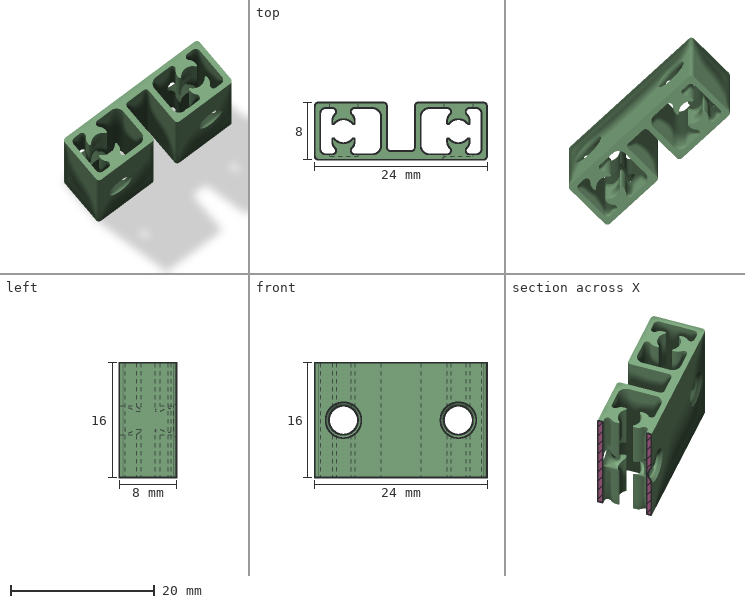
import cadquery as cq
import math

LENGTH = 24.0
DEPTH = LENGTH / 3
HEIGHT = LENGTH * 2 / 3
CORNER_RADIUS = 0.5

SLOT_WIDTH = 3.86
SLOT_FLOOR = 1.25

OUTER_WALL = 0.8
INNER_WALL = 0.85
OUTER_CELL_RADIUS = 0.7
INNER_CELL_RADIUS = 1.2

CHANNEL_X = LENGTH / 3
CHANNEL_Y = DEPTH / 2
CHANNEL_RADIUS = 1.65
CLAW_HALF_WIDTH = 1.58
CLAW_TIP_RADIUS = 0.17
CLAW_FLANK_RADIUS = 1.32
NECK_HALF_WIDTH = 1.03
NECK_RADIUS = 0.5

HOLE_DIAMETER = 4.0
COUNTERSINK_DIAMETER = 5.0

CUT_MARGIN = 0.25


def point_toward(start, target, distance):
    """Point at a given distance from start along the ray through target."""
    span = math.dist(start, target)
    return tuple(a + (b - a) * distance / span for a, b in zip(start, target))


def mirrored(point):
    return (-point[0], point[1])


def make_block():
    """U-shaped solid profile before the cells are hollowed out."""
    block = cq.Workplane("XY").box(LENGTH, DEPTH, HEIGHT, centered=(True, False, True))
    slot = (
        cq.Workplane("XY")
        .box(SLOT_WIDTH, DEPTH - SLOT_FLOOR, HEIGHT, centered=(True, False, True))
        .translate((0, SLOT_FLOOR, 0))
    )
    return block.cut(slot).edges("|Z").fillet(CORNER_RADIUS)


def make_claw():
    """Claw standing on the front wall, drawn with the channel axis as origin."""
    root_y = OUTER_WALL - CHANNEL_Y
    base_y = root_y - OUTER_WALL / 2

    neck_centre = (NECK_HALF_WIDTH + NECK_RADIUS, root_y + NECK_RADIUS)
    flank_x = CLAW_HALF_WIDTH - CLAW_FLANK_RADIUS
    flank_rise = math.sqrt((CLAW_FLANK_RADIUS + NECK_RADIUS) ** 2 - (neck_centre[0] - flank_x) ** 2)
    flank_centre = (flank_x, neck_centre[1] + flank_rise)
    tip_x = CLAW_HALF_WIDTH - CLAW_TIP_RADIUS
    tip_centre = (tip_x, -math.sqrt((CHANNEL_RADIUS + CLAW_TIP_RADIUS) ** 2 - tip_x**2))

    foot = (neck_centre[0], root_y)
    neck_mid = (NECK_HALF_WIDTH, neck_centre[1])
    neck_end = point_toward(neck_centre, flank_centre, NECK_RADIUS)
    flank_end = (CLAW_HALF_WIDTH, flank_centre[1])
    flank_chord_mid = tuple((a + b) / 2 for a, b in zip(neck_end, flank_end))
    flank_mid = point_toward(flank_centre, flank_chord_mid, CLAW_FLANK_RADIUS)
    tip_start = (CLAW_HALF_WIDTH, tip_centre[1])
    tip_mid = (tip_x, tip_centre[1] + CLAW_TIP_RADIUS)
    tip_end = point_toward((0, 0), tip_centre, CHANNEL_RADIUS)

    return (
        cq.Workplane("XY", origin=(0, 0, -HEIGHT / 2))
        .moveTo(foot[0], base_y)
        .lineTo(*foot)
        .threePointArc(neck_mid, neck_end)
        .threePointArc(flank_mid, flank_end)
        .lineTo(*tip_start)
        .threePointArc(tip_mid, tip_end)
        .threePointArc((0, -CHANNEL_RADIUS), mirrored(tip_end))
        .threePointArc(mirrored(tip_mid), mirrored(tip_start))
        .lineTo(*mirrored(flank_end))
        .threePointArc(mirrored(flank_mid), mirrored(neck_end))
        .threePointArc(mirrored(neck_mid), mirrored(foot))
        .lineTo(-foot[0], base_y)
        .close()
        .extrude(HEIGHT)
    )


def make_right_cell():
    """Void of the right-hand cell: a rounded box less its two claws."""
    inner_x = SLOT_WIDTH / 2 + INNER_WALL
    outer_x = LENGTH / 2 - OUTER_WALL
    void = (
        cq.Workplane("XY")
        .box(outer_x - inner_x, DEPTH - 2 * OUTER_WALL, HEIGHT)
        .edges("|Z and >X")
        .fillet(OUTER_CELL_RADIUS)
        .edges("|Z and <X")
        .fillet(INNER_CELL_RADIUS)
        .translate(((inner_x + outer_x) / 2, CHANNEL_Y, 0))
    )
    claw = make_claw()
    for placed_claw in (claw, claw.mirror("XZ")):
        void = void.cut(placed_claw.translate((CHANNEL_X, CHANNEL_Y, 0)))
    return void


def make_right_hole():
    """Cross hole along Y with a 45 degree countersink on the front face."""
    hole_radius = HOLE_DIAMETER / 2
    sink_radius = COUNTERSINK_DIAMETER / 2
    sink_depth = sink_radius - hole_radius
    return (
        cq.Workplane("XY")
        .polyline([
            (0, -CUT_MARGIN),
            (sink_radius + CUT_MARGIN, -CUT_MARGIN),
            (hole_radius, sink_depth),
            (hole_radius, DEPTH + CUT_MARGIN),
            (0, DEPTH + CUT_MARGIN),
        ])
        .close()
        .revolve(360, (0, 0, 0), (0, 1, 0))
        .translate((CHANNEL_X, 0, 0))
    )


result = make_block()
for right_cut in (make_right_cell(), make_right_hole()):
    result = result.cut(right_cut).cut(right_cut.mirror("YZ"))